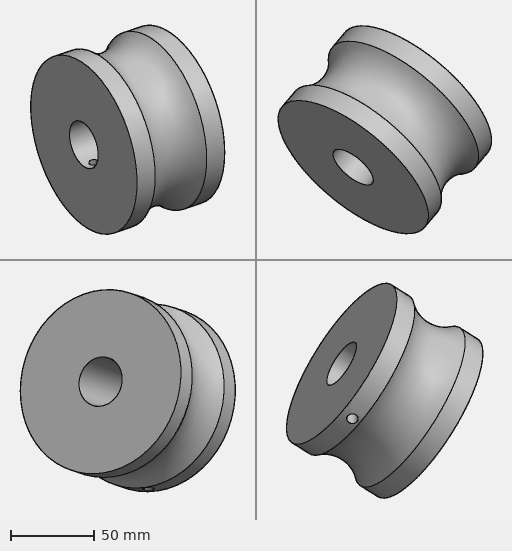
import cadquery as cq

outer_diameter = 112.0
width = 64.0
bore_diameter = 30.0
groove_width = 37.5
groove_depth = 7.4
set_screw_diameter = 6.8
set_screw_offset = 24.0

outer_radius = outer_diameter / 2
half_width = width / 2
half_groove = groove_width / 2
groove_floor_radius = outer_radius - groove_depth


def grooved_roller():
    """Revolve the half section with a concave circular groove around the Y axis."""
    section = (
        cq.Workplane("XY")
        .moveTo(bore_diameter / 2, -half_width)
        .lineTo(outer_radius, -half_width)
        .lineTo(outer_radius, -half_groove)
        .threePointArc((groove_floor_radius, 0), (outer_radius, half_groove))
        .lineTo(outer_radius, half_width)
        .lineTo(bore_diameter / 2, half_width)
        .close()
    )
    return section.revolve(360, (0, 0, 0), (0, 1, 0))


def set_screw_hole():
    """Radial hole from the bore out through the -Z side of the -Y flange."""
    return (
        cq.Workplane("XY")
        .center(0, -set_screw_offset)
        .circle(set_screw_diameter / 2)
        .extrude(-outer_diameter)
    )


result = grooved_roller().cut(set_screw_hole())